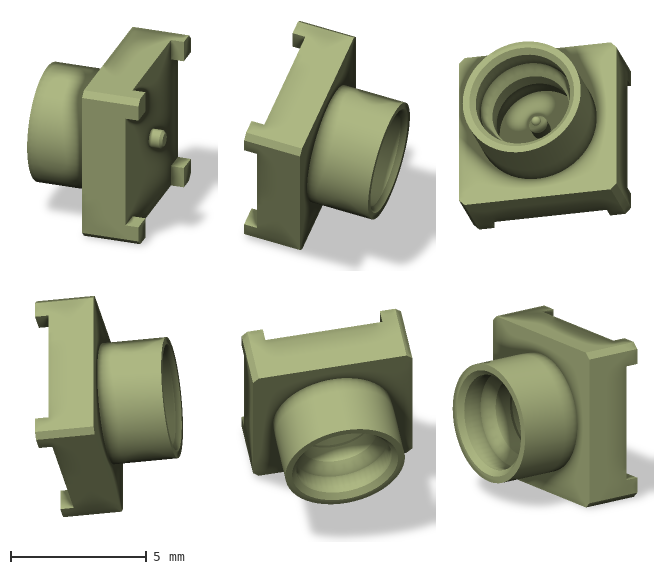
import cadquery as cq
import math

FLANGE_SIDE = 6.0
CORNER_CHAMFER = 0.215
BARREL_LENGTH = 2.4
PLATE_THICKNESS = 1.7
FOOT_HEIGHT = 0.505
FOOT_SIDE = 0.8

BARREL_RADIUS = 2.25
MOUTH_RADIUS = 2.0
BORE_RADIUS = 1.8
INNER_RADIUS = 1.47
MOUTH_CHAMFER = MOUTH_RADIUS - BORE_RADIUS
BORE_END = 0.95
TAPER_END = 1.4
FLARE_START = 2.05
FLARE_END = 2.25
REAR_RADIUS = 1.6

INSULATOR_FACE = 3.0

PIN_RADIUS = 0.35
COLLAR_RADIUS = 0.445
PIN_TIP_X = 2.0
TIP_RADIUS = 0.18
TIP_TAPER_LENGTH = 0.3
TAIL_CHAMFER = 0.1

PLATE_BACK = BARREL_LENGTH + PLATE_THICKNESS
PART_BACK = PLATE_BACK + FOOT_HEIGHT


def cylinder(radius, start, end):
    """Solid cylinder about the X axis between two X positions."""
    return cq.Workplane("YZ").workplane(offset=start).circle(radius).extrude(end - start)


def revolve_about_x(profile):
    """Revolve a closed profile, drawn as (X, radius), about the X axis."""
    return profile.close().revolve(360, (0, 0, 0), (1, 0, 0))


def make_flange():
    flange = (
        cq.Workplane("YZ")
        .workplane(offset=BARREL_LENGTH)
        .rect(FLANGE_SIDE, FLANGE_SIDE)
        .extrude(PART_BACK - BARREL_LENGTH)
        .edges("|X")
        .chamfer(CORNER_CHAMFER)
    )
    channel_width = FLANGE_SIDE - 2 * FOOT_SIDE
    for width, height in ((channel_width, FLANGE_SIDE), (FLANGE_SIDE, channel_width)):
        channel = cq.Workplane("YZ").workplane(offset=PLATE_BACK).rect(width, height).extrude(FOOT_HEIGHT)
        flange = flange.cut(channel)
    return flange


def make_bore():
    """Solid filling the bore: it narrows behind the mouth, then flares into the insulator seat."""
    return revolve_about_x(
        cq.Workplane("XY")
        .moveTo(0, 0)
        .lineTo(0, MOUTH_RADIUS)
        .lineTo(MOUTH_CHAMFER, BORE_RADIUS)
        .lineTo(BORE_END, BORE_RADIUS)
        .lineTo(TAPER_END, INNER_RADIUS)
        .lineTo(FLARE_START, INNER_RADIUS)
        .lineTo(FLARE_END, REAR_RADIUS)
        .lineTo(PLATE_BACK, REAR_RADIUS)
        .lineTo(PLATE_BACK, 0)
    )


def make_housing():
    barrel = cylinder(BARREL_RADIUS, 0, BARREL_LENGTH)
    return make_flange().union(barrel).cut(make_bore())


def make_insulator():
    disc = cylinder(REAR_RADIUS, INSULATOR_FACE, PLATE_BACK)
    return disc.cut(cylinder(COLLAR_RADIUS, INSULATOR_FACE, PLATE_BACK))


def make_pin():
    """Round pin with a domed, tapered tip, a collar and a chamfered tail."""
    dome_end = PIN_TIP_X + TIP_RADIUS
    diagonal = TIP_RADIUS * math.sqrt(0.5)
    dome_middle = (dome_end - diagonal, diagonal)
    return revolve_about_x(
        cq.Workplane("XY")
        .moveTo(PIN_TIP_X, 0)
        .threePointArc(dome_middle, (dome_end, TIP_RADIUS))
        .lineTo(dome_end + TIP_TAPER_LENGTH, PIN_RADIUS)
        .lineTo(INSULATOR_FACE, PIN_RADIUS)
        .lineTo(INSULATOR_FACE, COLLAR_RADIUS)
        .lineTo(PLATE_BACK, COLLAR_RADIUS)
        .lineTo(PLATE_BACK, PIN_RADIUS)
        .lineTo(PART_BACK - TAIL_CHAMFER, PIN_RADIUS)
        .lineTo(PART_BACK, PIN_RADIUS - TAIL_CHAMFER)
        .lineTo(PART_BACK, 0)
    )


housing = make_housing()
insulator = make_insulator()
pin = make_pin()

result = cq.Compound.makeCompound([housing.val(), insulator.val(), pin.val()])